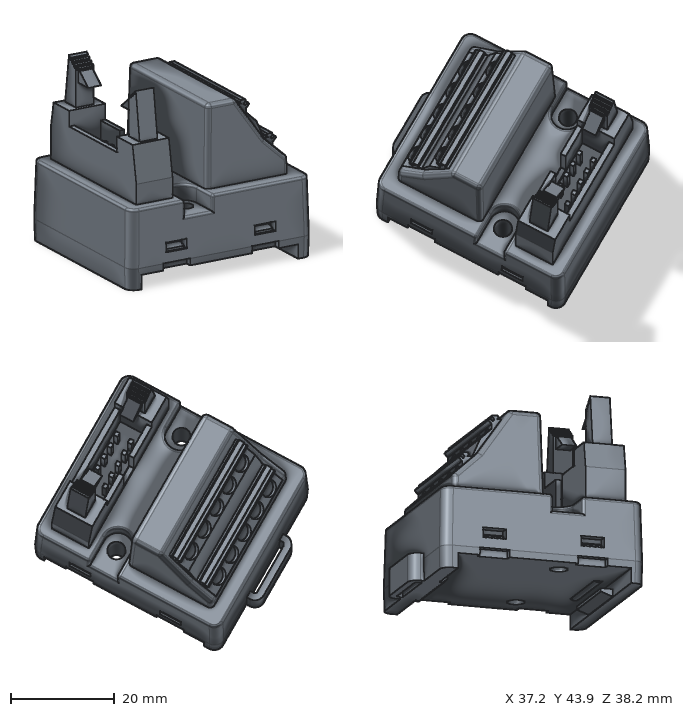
import cadquery as cq
import math


OVERLAP = 0.45

base_width = 37.2
base_length = 41.25
base_height = 16.45
split_height = 4.48
draft_angle = 1.5
corner_radius = 1.98
edge_radius = 0.53
base_middle_y = base_length / 2

rail_front_y = 2.75
rail_back_y = 38.0
rail_height = 3.0
rail_hook_width = 14.5
front_hook_tip_y = 5.2
front_hook_top = 1.6
back_hook_tip_y = 36.35
back_hook_top = 1.8
front_hook_root_z = 0.1
front_hook_tip_z = 0.9
back_hook_heel_y = 37.15
back_hook_tip_z = 0.85
rib_middle_y = 5.65
rib_length = 1.65
rib_depth = 0.3

loop_width = 14.5
loop_height = 5.5
loop_bar = 1.45
loop_radius = 1.98
overall_length = 43.9

clip_middles_y = (10.62, 30.6)
clip_notch_length = 6.0
clip_notch_depth = 1.3
window_length = 4.65
window_bottom = 6.6
window_height = 1.98
window_depth = 1.98
clip_length = 3.95
clip_edge_height = 0.5
clip_height = 1.05
clip_setback = 0.55

screw_middle_y = 15.67
screw_hole_x = 13.0
screw_hole_diameter = 3.5
screw_slot_x = 12.45
screw_slot_width = 6.05
screw_slot_floor = 13.13

tower_width = 30.3
tower_front_y = 19.3
tower_back_y = 37.95
tower_top = 33.63
tower_crest_y = 26.2
tower_bend = (32.7, 24.45)
tower_slope_end = (41.25, 16.7)
tower_radius = 0.95

terminal_width = 26.55
terminal_face_low = (37.8, 19.85)
terminal_face_high = (35.45, 22.0)
lever_outline = [
    (35.45, 22.85), (35.8, 23.15), (36.17, 23.6), (35.95, 23.93), (35.25, 23.5), (34.95, 23.85),
    (35.4, 24.35), (35.35, 24.65), (34.3, 24.65), (34.02, 24.3), (34.37, 23.93), (33.45, 23.93),
]
terminal_rows = 2
terminal_step_y = -6.05
terminal_step_z = 7.9
wire_hole_diameter = 3.5
wire_hole_depth = 1.0
wire_hole_pitch = 5.0
wire_hole_count = 5
wire_hole_y = 36.45

header_width = 31.9
header_front_y = 3.07
header_back_y = 11.25
header_top = 28.25
header_notch_floor = 25.05
header_top_left = -14.95
header_top_right = 14.57
header_left_kink = 23.22
header_right_kink = 20.7
insert_middle_x = -0.2
cavity_width = 17.82
cavity_front_y = 4.25
cavity_back_y = 10.15
key_slot_middle_x = 0.0
key_slot_width = 4.05
key_slot_floor = 17.35

pin_side = 0.88
pin_top = 22.13
pin_pitch = 2.55
pin_columns = 5
pin_rows_y = (5.6, 8.75)

latch_front_y = 5.2
latch_back_y = 9.18
latch_top = 38.25
latch_foot_x = 14.0
latch_tip_x = 12.5
latch_inner_x = 9.88
nose_front_y = 5.7
nose_back_y = 8.65
nose_tip_x = 6.15
nose_bottom = 33.28
groove_count = 4
groove_start = 0.7
groove_pitch = 0.75
groove_width = 0.45
groove_depth = 0.25


def box(x_range, y_range, z_range):
    """Box between the given limits along each axis."""
    size = [high - low for low, high in (x_range, y_range, z_range)]
    corner = (x_range[0], y_range[0], z_range[0])
    return cq.Workplane("XY").box(*size, centered=False).translate(corner)


def prism_along_x(points, x_low, x_high):
    """Prism whose outline is given as (y, z) points."""
    return cq.Workplane("YZ").polyline(points).close().extrude(x_high - x_low).translate((x_low, 0, 0))


def prism_along_y(points, y_low, y_high):
    """Prism whose outline is given as (x, z) points."""
    return cq.Workplane("XZ").polyline(points).close().extrude(y_low - y_high).translate((0, y_low, 0))


def both_sides(shape):
    """The shape together with its mirror image across x = 0."""
    return shape.union(shape.mirror("YZ"))


def make_drafted_block(width, length, middle_y, low_z, height):
    """Block that narrows away from its base plane; a negative height runs downwards."""
    block = cq.Workplane("XY", origin=(0, middle_y, low_z)).rect(width, length)
    return block.extrude(height, taper=draft_angle)


def make_base_block(height):
    """Drafted half of the base with round corners, starting at the split plane."""
    block = make_drafted_block(base_width, base_length, base_middle_y, split_height, height)
    return block.edges("not(|X or |Y)").fillet(corner_radius)


def make_screw_slot():
    """Open slot from the left side of the base down to the seat of the screw."""
    start_x = -base_width
    end_y = screw_slot_width / 2
    return (
        cq.Workplane("XY", origin=(0, screw_middle_y, screw_slot_floor))
        .moveTo(start_x, -end_y)
        .lineTo(-screw_slot_x, -end_y)
        .threePointArc((-screw_slot_x + end_y, 0), (-screw_slot_x, end_y))
        .lineTo(start_x, end_y)
        .close()
        .extrude(base_height)
    )


def make_cover():
    """Upper part of the base: drafted, with rounded top and screw slot edges."""
    cover = make_base_block(base_height - split_height)
    cover = cover.cut(both_sides(make_screw_slot()))
    slot_half = screw_slot_width / 2 + OVERLAP
    wall_x = base_width / 2 - 2 * OVERLAP
    rims = cover.faces(">Z").edges().vals()
    for low_x, high_x in ((-base_width, -wall_x), (wall_x, base_width)):
        mouth = cq.selectors.BoxSelector(
            (low_x, screw_middle_y - slot_half, screw_slot_floor - OVERLAP),
            (high_x, screw_middle_y + slot_half, base_height - OVERLAP),
        )
        rims += cover.edges(mouth).vals()
    return cover.newObject(rims).fillet(edge_radius)


def make_foot():
    """Lower part of the base, narrowing downwards, with the rail channel and clip notches."""
    foot = make_base_block(-split_height)
    foot = foot.cut(box((-base_width, base_width), (rail_front_y, rail_back_y), (0, rail_height)))
    for middle_y in clip_middles_y:
        notch = box(
            (-base_width, -base_width / 2 + clip_notch_depth),
            (middle_y - clip_notch_length / 2, middle_y + clip_notch_length / 2),
            (0, split_height),
        )
        foot = foot.cut(both_sides(notch))
    return foot


def make_rail_hooks():
    """Hooks that reach under both edges of the rail."""
    front_root = rail_front_y - OVERLAP
    back_root = rail_back_y + OVERLAP
    front = [
        (front_root, front_hook_root_z), (rail_front_y, front_hook_root_z),
        (front_hook_tip_y, front_hook_tip_z), (front_hook_tip_y, front_hook_top), (front_root, front_hook_top),
    ]
    back = [
        (back_root, 0), (back_hook_heel_y, 0), (back_hook_tip_y, back_hook_tip_z),
        (back_hook_tip_y, back_hook_top), (back_root, back_hook_top),
    ]
    half = rail_hook_width / 2
    return prism_along_x(front, -half, half).union(prism_along_x(back, -half, half))


def make_rail_rib():
    """Low rounded rib on the roof of the rail channel."""
    front_y = rib_middle_y - rib_length / 2
    back_y = rib_middle_y + rib_length / 2
    return (
        cq.Workplane("YZ")
        .moveTo(front_y, rail_height + OVERLAP)
        .lineTo(front_y, rail_height)
        .threePointArc((rib_middle_y, rail_height - rib_depth), (back_y, rail_height))
        .lineTo(back_y, rail_height + OVERLAP)
        .close()
        .extrude(rail_hook_width / 2, both=True)
    )


def make_pull_loop():
    """Handle behind the base for releasing the rail."""
    start_y = base_length - 2 * OVERLAP

    def bow(width, end_y, radius):
        return (
            box((-width / 2, width / 2), (start_y, end_y), (0, loop_height))
            .edges("|Z and >Y")
            .fillet(radius)
        )

    opening = bow(loop_width - 2 * loop_bar, overall_length - loop_bar, loop_radius - loop_bar)
    return bow(loop_width, overall_length, loop_radius).cut(opening)


def make_window(middle_y):
    """Snap window through the left side wall."""
    return box(
        (-base_width, -base_width / 2 + window_depth),
        (middle_y - window_length / 2, middle_y + window_length / 2),
        (window_bottom, window_bottom + window_height),
    )


def make_clip(middle_y):
    """Wedge of the snap clip inside the window."""
    outer_x = -base_width / 2 + clip_setback
    inner_x = -base_width / 2 + window_depth
    outline = [
        (outer_x, window_bottom),
        (outer_x, window_bottom + clip_edge_height),
        (inner_x, window_bottom + clip_height),
        (inner_x + OVERLAP, window_bottom + clip_height),
        (inner_x + OVERLAP, window_bottom),
    ]
    return prism_along_y(outline, middle_y - clip_length / 2, middle_y + clip_length / 2)


def make_tower():
    """Drafted tower with a sloped back and rounded edges."""
    depth = tower_back_y - tower_front_y
    middle_y = (tower_front_y + tower_back_y) / 2
    shaft = make_drafted_block(tower_width, depth, middle_y, base_height, tower_top - base_height)
    sloped_side = prism_along_x(
        [(tower_crest_y, tower_top), tower_bend, tower_slope_end,
         (tower_slope_end[0], tower_top + OVERLAP), (tower_crest_y, tower_top + OVERLAP)],
        -tower_width, tower_width,
    )
    tower = shaft.cut(sloped_side)
    bend_y, bend_z = tower_bend
    bend = cq.selectors.BoxSelector(
        (-OVERLAP, bend_y - OVERLAP, bend_z - OVERLAP),
        (OVERLAP, bend_y + OVERLAP, bend_z + OVERLAP),
    )
    return tower.edges("not <Z").edges(cq.selectors.InverseSelector(bend)).fillet(tower_radius)


def make_terminals():
    """Two stepped rows of terminals with ribbed push levers along the slope."""
    row = [terminal_face_low, terminal_face_high] + lever_outline
    upper_row = [(y + terminal_step_y, z + terminal_step_z) for y, z in row]
    end_y, end_z = upper_row[-1]
    inner_y = end_y - OVERLAP
    buried = [(inner_y, end_z), (inner_y, base_height), (terminal_face_low[0] - OVERLAP, base_height)]
    half = terminal_width / 2
    return prism_along_x(row + upper_row + buried, -half, half)


def make_wire_holes():
    """Blind round wire entries, square to the sloped faces of both terminal rows."""
    holes = []
    low_y, low_z = terminal_face_low
    high_y, high_z = terminal_face_high
    normal = cq.Vector(0, high_z - low_z, low_y - high_y).normalized()
    face_z = low_z + (low_y - wire_hole_y) * (high_z - low_z) / (low_y - high_y)
    for row in range(terminal_rows):
        for column in range(wire_hole_count):
            x = insert_middle_x + (column - (wire_hole_count - 1) / 2) * wire_hole_pitch
            mouth = cq.Vector(x, wire_hole_y + row * terminal_step_y, face_z + row * terminal_step_z)
            bottom = mouth - normal * wire_hole_depth
            holes.append(cq.Solid.makeCylinder(wire_hole_diameter / 2, 2 * wire_hole_depth, bottom, normal))
    return holes


def make_header():
    """Header housing with a keyed cavity, open between its two end blocks."""
    half = header_width / 2
    outline = [
        (-half, base_height - OVERLAP), (half, base_height - OVERLAP), (half, header_right_kink),
        (header_top_right, header_top), (header_top_left, header_top), (-half, header_left_kink),
    ]
    header = prism_along_y(outline, header_front_y, header_back_y)
    cavity_x = (insert_middle_x - cavity_width / 2, insert_middle_x + cavity_width / 2)
    key_x = (key_slot_middle_x - key_slot_width / 2, key_slot_middle_x + key_slot_width / 2)
    header = header.cut(box(cavity_x, (0, base_length), (header_notch_floor, header_top)))
    header = header.cut(box(cavity_x, (cavity_front_y, cavity_back_y), (base_height, header_top)))
    return header.cut(box(key_x, (cavity_back_y, header_back_y), (key_slot_floor, header_top)))


def make_pins():
    """Two rows of square contact pins."""
    pins = []
    for y in pin_rows_y:
        for column in range(pin_columns):
            x = insert_middle_x + (column - (pin_columns - 1) / 2) * pin_pitch
            pin = box(
                (x - pin_side / 2, x + pin_side / 2),
                (y - pin_side / 2, y + pin_side / 2),
                (base_height - OVERLAP, pin_top),
            )
            pins.append(pin)
    return pins


def make_latch():
    """Left ejector latch: tapered post with a pointed nose and a grooved slope."""
    steepness = (latch_top - nose_bottom) / (latch_tip_x - nose_tip_x)

    def slope_z(x):
        return latch_top - steepness * (x + latch_tip_x)

    inner_x = -latch_inner_x
    root_x = inner_x - OVERLAP
    post = prism_along_y(
        [(-latch_foot_x, header_top - OVERLAP), (-latch_tip_x, latch_top),
         (inner_x, slope_z(inner_x)), (inner_x, header_top - OVERLAP)],
        latch_front_y, latch_back_y,
    )
    nose = prism_along_y(
        [(root_x, nose_bottom), (-nose_tip_x, nose_bottom), (root_x, slope_z(root_x))],
        nose_front_y, nose_back_y,
    )
    latch = post.union(nose)
    for number in range(groove_count):
        middle_x = -latch_tip_x + groove_start + number * groove_pitch
        groove = (
            cq.Workplane("XY")
            .box(groove_width, latch_back_y - latch_front_y, 2 * groove_depth)
            .rotate((0, 0, 0), (0, 1, 0), math.degrees(math.atan(steepness)))
            .translate((middle_x, (latch_front_y + latch_back_y) / 2, slope_z(middle_x)))
        )
        latch = latch.cut(groove)
    return latch


def make_screw_hole():
    """Left screw hole, through the whole base."""
    return (
        cq.Workplane("XY", origin=(-screw_hole_x, screw_middle_y, 0))
        .circle(screw_hole_diameter / 2)
        .extrude(base_height)
    )


result = make_cover().union(make_foot())
for clip_y in clip_middles_y:
    result = result.cut(both_sides(make_window(clip_y)))
    result = result.union(both_sides(make_clip(clip_y)))
result = result.union(make_rail_hooks()).union(make_rail_rib()).union(make_pull_loop())
result = result.union(make_tower()).union(make_terminals())
for hole in make_wire_holes():
    result = result.cut(cq.Workplane(hole))
result = result.union(make_header())
for pin in make_pins():
    result = result.union(pin)
result = result.union(both_sides(make_latch()).translate((insert_middle_x, 0, 0)))
result = result.cut(both_sides(make_screw_hole()))